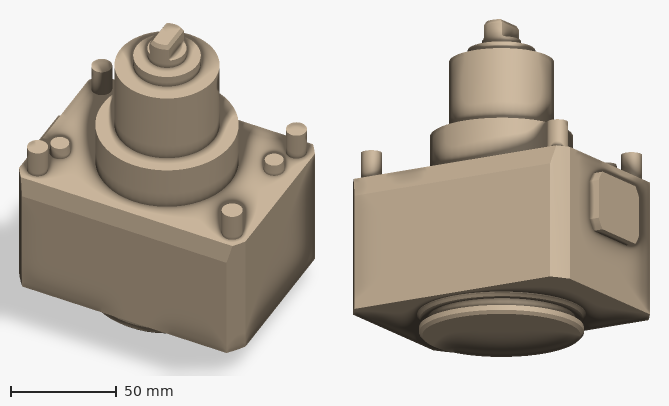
import cadquery as cq
import math

flange_top = 4.0
groove_top = 8.4
body_bottom = 10.3
body_top = 75.0
collar_top = 97.3
sleeve_top = 134.0
bearing_top = 139.8
tang_base = 144.3
total_height = 153.0

body_length = 120.0
body_width = 89.0
corner_radius = 70.0
bevel_height = 9.2
bevel_angle = 15.0

flange_diameter = 78.0
groove_diameter = 70.0
spigot_diameter = 80.0
ring_chamfer = 1.5
collar_diameter = 67.8
sleeve_diameter = 49.7
bearing_diameter = 32.0
shaft_diameter = 18.5

tang_thickness = 10.0
tang_root_fillet = 1.0
tang_chamfer_height = 2.0
tang_chamfer_inset = 1.15

pin_diameter = 10.0
bolt_height = 14.0
bolt_x = 51.5
bolt_y = 33.5
dowel_height = 5.8
dowel_tip_diameter = 8.9
dowel_x = 47.9
dowel_y = 17.5

cover_thickness = 5.0
cover_width = 36.5
cover_height = 28.3
cover_corner_radius = 20.5
cover_center_z = 53.1


def disc(diameter, bottom, top):
    """Cylinder on the shaft axis between two levels."""
    return cq.Workplane("XY").workplane(offset=bottom).circle(diameter / 2).extrude(top - bottom)


def make_body():
    bevel_inset = bevel_height * math.tan(math.radians(bevel_angle))
    half_width = body_width / 2
    profile = [
        (-half_width, body_bottom),
        (half_width, body_bottom),
        (half_width, body_top - bevel_height),
        (half_width - bevel_inset, body_top),
        (-half_width + bevel_inset, body_top),
        (-half_width, body_top - bevel_height),
    ]
    block = cq.Workplane("YZ").polyline(profile).close().extrude(body_length / 2, both=True)
    return block.intersect(disc(2 * corner_radius, body_bottom, body_top))


def make_base():
    """Chamfered spigot, groove and end flange under the body."""
    flange = disc(flange_diameter, 0, flange_top).faces("<Z").chamfer(ring_chamfer)
    groove = disc(groove_diameter, flange_top, groove_top)
    spigot = disc(spigot_diameter, groove_top, body_bottom).faces("<Z").chamfer(ring_chamfer)
    return flange.union(groove).union(spigot)


def make_shaft():
    """Round shaft end, coned at the top, with two flats that are filleted at the root and bevelled on top."""
    bevel_start = total_height - tang_chamfer_height
    radius = shaft_diameter / 2
    cone = cq.Solid.makeCone(radius, radius - tang_chamfer_inset, tang_chamfer_height)
    shaft = disc(shaft_diameter, bearing_top, bevel_start)
    shaft = shaft.union(cq.Workplane(cone.translate(cq.Vector(0, 0, bevel_start))))

    half_tang = tang_thickness / 2
    half_tip = half_tang - tang_chamfer_inset
    profile = [
        (-radius, bearing_top),
        (radius, bearing_top),
        (radius, tang_base),
        (half_tang, tang_base),
        (half_tang, bevel_start),
        (half_tip, total_height),
        (-half_tip, total_height),
        (-half_tang, bevel_start),
        (-half_tang, tang_base),
        (-radius, tang_base),
    ]
    envelope = cq.Workplane("XZ").polyline(profile).close().extrude(shaft_diameter, both=True)
    for side in (-1, 1):
        root = cq.selectors.NearestToPointSelector((side * half_tang, 0, tang_base))
        envelope = envelope.edges("|Y").edges(root).fillet(tang_root_fillet)
    return shaft.intersect(envelope)


def make_bolts():
    positions = [(x, y) for x in (-bolt_x, bolt_x) for y in (-bolt_y, bolt_y)]
    return (
        cq.Workplane("XY")
        .workplane(offset=body_top)
        .pushPoints(positions)
        .circle(pin_diameter / 2)
        .extrude(bolt_height)
    )


def make_dowel(x, y):
    """Pin tapering towards its tip."""
    cone = cq.Solid.makeCone(pin_diameter / 2, dowel_tip_diameter / 2, dowel_height)
    return cq.Workplane(cone.translate(cq.Vector(x, y, body_top)))


def make_cover():
    """Rectangular plate with its corners rounded by one common cylinder."""
    face_plane = cq.Workplane("YZ", origin=(-body_length / 2, 0, cover_center_z))
    plate = face_plane.rect(cover_width, cover_height).extrude(-cover_thickness)
    corner_cylinder = face_plane.circle(cover_corner_radius).extrude(-cover_thickness)
    return plate.intersect(corner_cylinder)


result = make_body().union(make_base())
result = result.union(disc(collar_diameter, body_top, collar_top))
result = result.union(disc(sleeve_diameter, collar_top, sleeve_top))
result = result.union(disc(bearing_diameter, sleeve_top, bearing_top))
result = result.union(make_shaft())
result = result.union(make_bolts())
for side in (-1, 1):
    result = result.union(make_dowel(side * dowel_x, side * dowel_y))
result = result.union(make_cover())